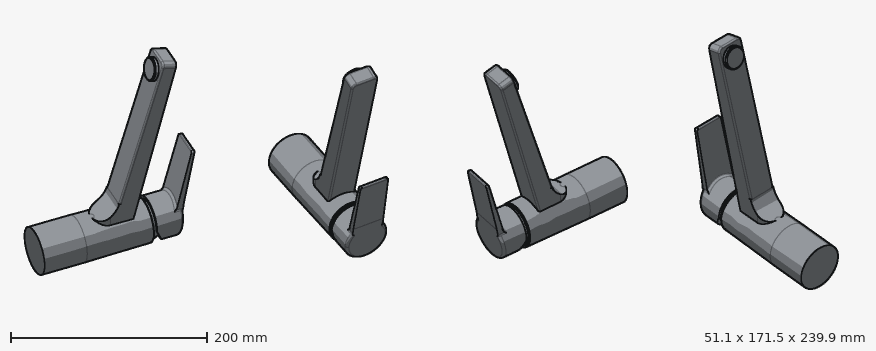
import cadquery as cq
import math

base_radius = 25.55
base_length = 47.3
body_end = 122.8
body_end_radius = 24.7
rim_chamfer = 0.7

wall_tolerance = 0.05

ball_radius = 22.3
ball_center_y = 120.0

barrel_radius = 24.2
barrel_front = 126.5
barrel_relief_y = 137.0
barrel_back_top = 159.0
barrel_back_bottom = 152.5

lever_top_y = 171.7
lever_top_z = 87.3
lever_top_thickness = 3.5
lever_root_z = 12.0
lever_root_thickness = 8.2
lever_top_width = 32.5
lever_root_width = 36.0
lever_corner_radius = 2.5
lever_tip_radius = 0.7
lever_blend_radius = 2.9

overall_height = 240.3
spout_width = 31.2
spout_top_z = overall_height - base_radius
spout_top_front_y = 137.0
spout_top_back_y = 153.0
spout_top_drop = 4.8
spout_front_slope = 0.29
spout_back_slope = 0.255
spout_corner_radius = 5.5
spout_edge_radius = 1.8
spout_root_z = 0.0

web_radius = 26.5
web_level = 25.06

outlet_radius = 12.5
outlet_height = 4.5
outlet_chamfer = 1.2
outlet_z = 198.0
outlet_embed = 2.5


def side_prism(points, width):
    """Extrude a (Y, Z) outline symmetrically along X."""
    return cq.Workplane("YZ").polyline(points).close().extrude(width / 2, both=True)


def spout_front_y(z):
    return spout_top_front_y - spout_front_slope * (spout_top_z - z)


def spout_back_y(z):
    return spout_top_back_y - spout_back_slope * (spout_top_z - spout_top_drop - z)


def make_body():
    profile = [
        (0, 0),
        (base_radius, 0),
        (base_radius, base_length),
        (body_end_radius, body_end - rim_chamfer),
        (body_end_radius - rim_chamfer, body_end),
        (0, body_end),
    ]
    return cq.Workplane("XY").polyline(profile).close().revolve(360, (0, 0), (0, 1))


def make_spout():
    outline = [
        (spout_front_y(spout_root_z), spout_root_z),
        (spout_top_front_y, spout_top_z),
        (spout_top_back_y, spout_top_z - spout_top_drop),
        (spout_back_y(spout_root_z), spout_root_z),
    ]
    spout = side_prism(outline, spout_width)
    spout = spout.faces(">Z").edges("not |X").fillet(spout_corner_radius)
    middle_z = spout_top_z / 2
    for face_y in (spout_front_y(middle_z), spout_back_y(middle_z)):
        face = spout.faces(cq.NearestToPointSelector((0, face_y, middle_z)))
        spout = face.edges("not <Z").fillet(spout_edge_radius)
    return spout


def make_web():
    """Concave arc tangent to the spout front and to the crest of the body, rounded in plan."""
    slope_angle = math.atan(spout_front_slope)
    mid_angle = math.pi / 4 - slope_angle / 2
    tangent_length = web_radius * math.tan(mid_angle)
    corner_y = spout_front_y(web_level)
    upper_y = corner_y + tangent_length * math.sin(slope_angle)
    upper_z = web_level + tangent_length * math.cos(slope_angle)
    toe_y = corner_y - tangent_length
    back_y = upper_y + spout_edge_radius * 2
    mid_y = toe_y + web_radius * math.sin(mid_angle)
    mid_z = web_level + web_radius * (1 - math.cos(mid_angle))
    half = spout_width / 2
    web = (
        cq.Workplane("YZ")
        .moveTo(toe_y, web_level)
        .threePointArc((mid_y, mid_z), (upper_y, upper_z))
        .lineTo(back_y, upper_z)
        .lineTo(back_y, spout_root_z)
        .lineTo(toe_y, spout_root_z)
        .close()
        .extrude(half, both=True)
    )
    plan = (
        cq.Workplane("XY")
        .moveTo(-half, back_y)
        .lineTo(-half, toe_y + half)
        .threePointArc((0, toe_y), (half, toe_y + half))
        .lineTo(half, back_y)
        .close()
        .extrude(spout_top_z)
    )
    return web.intersect(plan)


def make_outlet():
    slope_angle = math.atan(spout_front_slope)
    normal = cq.Vector(0, -math.cos(slope_angle), math.sin(slope_angle))
    origin = cq.Vector(0, spout_front_y(outlet_z), outlet_z) - normal * outlet_embed
    plane = cq.Plane(origin=origin, xDir=(1, 0, 0), normal=normal)
    outlet = cq.Workplane(plane).circle(outlet_radius).extrude(outlet_embed + outlet_height)
    return outlet.faces("<Y").chamfer(outlet_chamfer)


def make_barrel():
    outline = [
        (barrel_front, barrel_radius),
        (barrel_front, 0),
        (barrel_relief_y, -barrel_radius),
        (barrel_back_bottom, -barrel_radius),
        (barrel_back_top, barrel_radius),
    ]
    stock = cq.Workplane("XZ").circle(barrel_radius).extrude(-lever_top_y)
    return stock.intersect(side_prism(outline, 2 * barrel_radius))


def make_lever():
    back_slope = (barrel_back_top - barrel_back_bottom) / (2 * barrel_radius)
    root_back_y = barrel_back_top - back_slope * (barrel_radius - lever_root_z)
    side = side_prism(
        [
            (root_back_y - lever_root_thickness, lever_root_z),
            (root_back_y, lever_root_z),
            (barrel_back_top, barrel_radius),
            (lever_top_y, lever_top_z),
            (lever_top_y - lever_top_thickness, lever_top_z),
        ],
        lever_root_width,
    )
    face = (
        cq.Workplane("XZ")
        .polyline(
            [
                (-lever_root_width / 2, lever_root_z),
                (-lever_top_width / 2, lever_top_z),
                (lever_top_width / 2, lever_top_z),
                (lever_root_width / 2, lever_root_z),
            ]
        )
        .close()
        .extrude(-2 * lever_top_y)
        .edges(">Z and |Y")
        .fillet(lever_corner_radius)
    )
    rounded_side = side.edges(">Z").fillet(lever_tip_radius)
    return rounded_side.intersect(face)


def make_handle():
    """Barrel and lever joined, with the crease where the lever meets the barrel rounded."""
    joined = make_barrel().union(make_lever())

    def is_crease(edge):
        return all(
            abs(math.hypot(p.x, p.z) - barrel_radius) < wall_tolerance and p.z > 0 and p.y > barrel_relief_y
            for p in edge.positions([0, 0.25, 0.5, 0.75, 1])
        )

    return joined.edges().filter(is_crease).fillet(lever_blend_radius)


def make_ball():
    return cq.Workplane("XY").sphere(ball_radius).translate((0, ball_center_y, 0))


spout_with_web = make_spout().union(make_web())
body_with_spout = make_body().union(spout_with_web).union(make_outlet())
result = body_with_spout.union(make_ball()).union(make_handle())